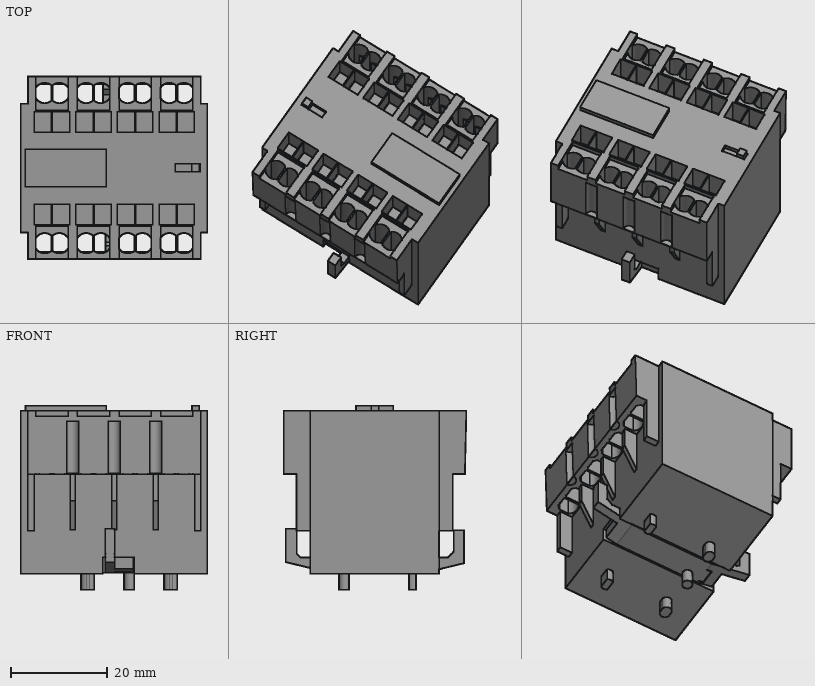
import cadquery as cq

body_width = 38.8
body_depth = 26.75
body_height = 33.9

block_left = -17.88
block_right = 18.04
block_bottom = 20.7
block_front = -18.905
block_back_top = 19.065
block_back_bottom = 18.76

terminal_count = 4
pitch = 8.62
terminal_middle_x = 0.06
recess_width = 6.65
recess_depth = 1.15
recess_inner_y = 12.03
hole_radius = 2.1
hole_y = 15.6
hole_offset = 1.52
hole_web = 0.4
hole_upper_depth = 6.0
hole_lip_y = 17.4
pocket_width = 7.3
pocket_inner_y = 7.46
pocket_outer_y = 11.7
pocket_depth = 6.0
pocket_divider = 0.2

groove_radius = 1.27
groove_top = 31.7
groove_floor = 0.15
rib_width = 1.0
rib_outer_y = 16.22
rib_taper_top = 15.15
rib_bottom = 9.2
leg_width = 1.3
leg_bottom = 8.9

label_left = -18.37
label_width = 16.8
label_depth = 7.8
label_height = 1.0
slot_left = 12.73
slot_right = 17.9
slot_depth = 0.9
indicator_width = 1.58
indicator_y = 0.08
peg_left = 16.17
peg_length = 1.55

pin_length = 3.3
pin_middle_x = 3.14
front_pin_y = -6.35
front_pin_diameter = 2.15
outer_pin_width = 2.8
back_pin_y = 7.88
back_pin_thickness = 1.5

channel_left = -2.29
channel_right = 4.18
channel_height = 3.45
clip_left = -1.78
clip_right = 4.0
clip_end_y = 12.83
clip_bottom = 0.2
arm_width = 1.89
arm_slope = 0.242
arm_inner_y = 6.0
pad_left = clip_left + arm_width
pad_right = 3.47
pad_height = 0.28

front_outer_y = 18.49
front_post_y = 16.12
front_post_top = 9.4
front_chamfer = 0.7
front_tip_z = 2.44
back_outer_y = 18.6
back_post_y = 16.42
back_post_top = 9.1
back_chamfer = 1.2
back_tip_z = 2.2

TERMINAL_XS = [terminal_middle_x + pitch * (i - (terminal_count - 1) / 2) for i in range(terminal_count)]
GAP_XS = [x + pitch / 2 for x in TERMINAL_XS[:-1]]
SIDES = (-1, 1)


def box(x0, x1, y0, y1, z0, z1):
    """Box between two corners; each pair of limits may come in either order."""
    size = (abs(x1 - x0), abs(y1 - y0), abs(z1 - z0))
    return cq.Workplane("XY").box(*size).translate(((x0 + x1) / 2, (y0 + y1) / 2, (z0 + z1) / 2))


def side_profile(points, x0, x1):
    """Closed outline of (y, z) points, extruded along X from x0 to x1."""
    return cq.Workplane("YZ", origin=(x0, 0, 0)).polyline(points).close().extrude(x1 - x0)


def terminal_block():
    return side_profile(
        [
            (block_front, block_bottom),
            (block_front, body_height),
            (block_back_top, body_height),
            (block_back_bottom, block_bottom),
        ],
        block_left,
        block_right,
    )


def legs():
    height = (leg_bottom, block_bottom)
    left = box(block_left, block_left + leg_width, -rib_outer_y, rib_outer_y, *height)
    right = box(block_right - leg_width, block_right, -rib_outer_y, rib_outer_y, *height)
    return left.union(right)


def rib(x):
    """Rib across the body whose two ends taper down to the front and back walls."""
    wall_y = body_depth / 2
    return side_profile(
        [
            (-rib_outer_y, block_bottom),
            (-rib_outer_y, rib_taper_top),
            (-wall_y, rib_bottom),
            (wall_y, rib_bottom),
            (rib_outer_y, rib_taper_top),
            (rib_outer_y, block_bottom),
        ],
        x - rib_width / 2,
        x + rib_width / 2,
    )


def groove(x, y):
    bottom = block_bottom + groove_floor
    return cq.Workplane("XY", origin=(x, y, bottom)).circle(groove_radius).extrude(groove_top - bottom)


def wire_hole(x, side, hand):
    """Round hole cut flat by the web on one flank and by the recess wall on the other.

    A lip near the bottom also cuts off the outer edge of the hole.
    """
    floor = body_height - recess_depth
    hole = (
        cq.Workplane("XY", origin=(x + hand * hole_offset, side * hole_y, block_bottom))
        .circle(hole_radius)
        .extrude(floor - block_bottom)
    )
    web_x = x + hand * hole_web / 2
    wall_x = x + hand * recess_width / 2
    outer_y = side * (hole_y + hole_radius)
    lip = box(web_x, wall_x, side * hole_lip_y, outer_y, block_bottom, floor - hole_upper_depth)
    return hole.intersect(box(web_x, wall_x, 0, outer_y, block_bottom, floor)).cut(lip)


def terminal_cuts(x, side):
    """Open recess with its two wire holes, and the divided square pocket behind it."""
    recess = box(
        x - recess_width / 2,
        x + recess_width / 2,
        side * recess_inner_y,
        side * block_back_top,
        body_height - recess_depth,
        body_height,
    )
    pocket_limits = (
        side * pocket_inner_y,
        side * pocket_outer_y,
        body_height - pocket_depth,
        body_height,
    )
    pocket = box(x - pocket_width / 2, x + pocket_width / 2, *pocket_limits)
    divider = box(x - pocket_divider / 2, x + pocket_divider / 2, *pocket_limits)
    cuts = recess.union(pocket.cut(divider))
    for hand in SIDES:
        cuts = cuts.union(wire_hole(x, side, hand))
    return cuts


def indicator_box(x0, x1, top):
    y0 = indicator_y - indicator_width / 2
    return box(x0, x1, y0, y0 + indicator_width, body_height - slot_depth, top)


def round_pin():
    """Middle front pin; it starts at the roof of the channel and passes through the clip."""
    return (
        cq.Workplane("XY", origin=(pin_middle_x, front_pin_y, -pin_length))
        .circle(front_pin_diameter / 2)
        .extrude(pin_length + channel_height)
    )


def outer_pins(x):
    """Front pin with rounded ends, and the flat-sided round pin behind it."""
    front = (
        cq.Workplane("XY", origin=(x, front_pin_y, -pin_length))
        .slot2D(outer_pin_width, front_pin_diameter)
        .extrude(pin_length)
    )
    back = (
        cq.Workplane("XY", origin=(x, back_pin_y, -pin_length))
        .circle(outer_pin_width / 2)
        .extrude(pin_length)
    )
    flats = cq.Workplane("XY", origin=(x, back_pin_y, -pin_length / 2)).box(
        outer_pin_width, back_pin_thickness, pin_length
    )
    return front.union(back.intersect(flats))


def make_housing():
    half_width = body_width / 2
    half_depth = body_depth / 2
    housing = box(-half_width, half_width, -half_depth, half_depth, 0, body_height)
    housing = housing.union(terminal_block()).union(legs())
    for x in GAP_XS:
        housing = housing.union(rib(x))
        housing = housing.cut(groove(x, block_front)).cut(groove(x, block_back_bottom))
    for x in TERMINAL_XS:
        for side in SIDES:
            housing = housing.cut(terminal_cuts(x, side))

    label_top = body_height + label_height
    label = box(
        label_left, label_left + label_width, -label_depth / 2, label_depth / 2, body_height, label_top
    )
    housing = housing.union(label)
    housing = housing.cut(indicator_box(slot_left, slot_right, body_height))
    housing = housing.union(indicator_box(peg_left, peg_left + peg_length, label_top))

    housing = housing.cut(box(channel_left, channel_right, -half_depth, half_depth, 0, channel_height))
    housing = housing.union(round_pin())
    for side in SIDES:
        housing = housing.union(outer_pins(pin_middle_x + side * pitch))
    return housing


def underside_z(y, outer_y, tip_z):
    """Height of an arm's sloping underside at a distance y from the middle."""
    return tip_z - arm_slope * (outer_y - y)


def slope_end(outer_y, tip_z):
    """Distance from the middle at which an arm's underside reaches the clip's bottom."""
    return outer_y - (tip_z - clip_bottom) / arm_slope


def arm(side, x_left, outer_y, post_y, post_top, chamfer, tip_z):
    """Clip arm with an upright post; its underside slopes from the tip down to the clip's bottom."""
    points = [
        (arm_inner_y, channel_height),
        (post_y - chamfer, channel_height),
        (post_y, channel_height + chamfer),
        (post_y, post_top),
        (outer_y, post_top),
        (outer_y, tip_z),
        (slope_end(outer_y, tip_z), clip_bottom),
        (arm_inner_y, clip_bottom),
    ]
    return side_profile([(side * y, z) for y, z in points], x_left, x_left + arm_width)


def clip_plate():
    """Plate inside the channel, with both ends cut on the slopes of the arms."""
    return side_profile(
        [
            (-clip_end_y, channel_height),
            (clip_end_y, channel_height),
            (clip_end_y, underside_z(clip_end_y, back_outer_y, back_tip_z)),
            (slope_end(back_outer_y, back_tip_z), clip_bottom),
            (-slope_end(front_outer_y, front_tip_z), clip_bottom),
            (-clip_end_y, underside_z(clip_end_y, front_outer_y, front_tip_z)),
        ],
        clip_left,
        clip_right,
    )


def clip_pad():
    """Low pad that carries the flat underside forward below the front slope."""
    back_y = -slope_end(front_outer_y, front_tip_z)
    front_y = back_y - pad_height / arm_slope
    return box(pad_left, pad_right, front_y, back_y, clip_bottom, clip_bottom + pad_height)


def make_clip():
    front_arm = arm(-1, clip_left, front_outer_y, front_post_y, front_post_top, front_chamfer, front_tip_z)
    back_arm = arm(1, channel_left, back_outer_y, back_post_y, back_post_top, back_chamfer, back_tip_z)
    return clip_plate().union(front_arm).union(back_arm).union(clip_pad()).cut(round_pin())


housing = make_housing()
clip = make_clip()
result = cq.Compound.makeCompound([housing.val(), clip.val()])